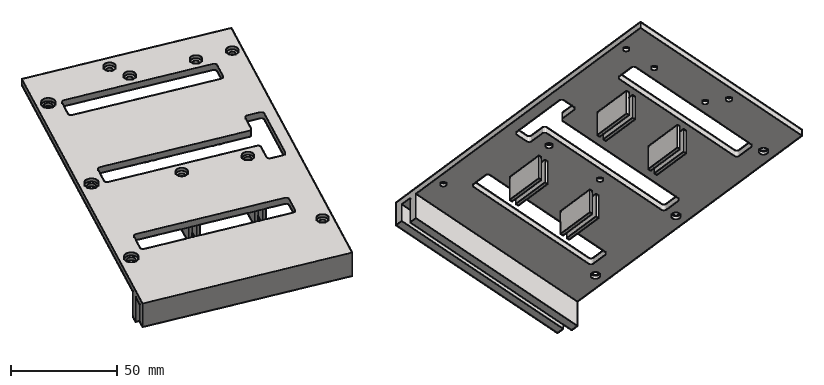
import cadquery as cq

length = 167.2
width = 105.0
thickness = 4.0

total_height = 20.0
wall_thickness = thickness
wall_gap = 5.7
end_wall_drop = 11.0
inner_wall_drop = total_height - thickness
end_wall_x = length - wall_thickness
inner_wall_x = end_wall_x - wall_gap - wall_thickness

slot_width = 11.0
slot_bottom = 12.2
slot_top = 89.8
slot_corner_radius = 1.5
first_slot_center = 26.3
slot_pitch = 49.8
slot_count = 3
slot_centers = [first_slot_center + i * slot_pitch for i in range(slot_count)]
crossbar_center = slot_centers[slot_count // 2]
crossbar_length = 32.0
crossbar_height = 9.4

small_hole, small_bore = 3.0, 6.0
wide_hole = 3.5
large_hole, large_bore = 4.5, 7.0
bore_depth = thickness / 2

left_column_x = 15.0
right_column_x = 87.0
lower_row_y = 48.7
upper_row_y = 81.8
back_row_y = width - 5.0
front_row_y = 6.0
small_points = [
    (left_column_x, lower_row_y),
    (left_column_x, upper_row_y),
    (right_column_x, lower_row_y),
    (left_column_x, back_row_y),
    (140.0, back_row_y),
    (6.0, 41.8),
]
wide_points = [(right_column_x, upper_row_y)]
large_points = [(x, front_row_y) for x in (20.0, 80.0, 135.0)]

fin_length = 20.0
fin_thickness = 1.7
fin_gap = 2.3
fin_drop = 15.0
fin_left_ends = (35.1, 95.0)
fin_row_offset = 3.8
fin_pair_centers = [row_y - fin_row_offset for row_y in (lower_row_y, upper_row_y)]


def block(x, y, z, size_x, size_y, size_z):
    """Box with its lowest corner at (x, y, z)."""
    return cq.Workplane("XY").box(size_x, size_y, size_z, centered=False).translate((x, y, z))


def slot_cutter():
    """The upright slots and the crossbar, with all upright edges rounded."""
    cutter = block(
        crossbar_center - crossbar_length / 2, slot_top, 0, crossbar_length, crossbar_height, thickness
    )
    for center in slot_centers:
        cutter = cutter.union(
            block(center - slot_width / 2, slot_bottom, 0, slot_width, slot_top - slot_bottom, thickness)
        )
    return cutter.edges("|Z").fillet(slot_corner_radius)


def drill(part, points, hole, bore):
    """Through holes counterbored from the top face of the plate."""
    top = part.faces(">Z").workplane(origin=(0, 0, thickness))
    return top.pushPoints(points).cboreHole(hole, bore, bore_depth)


def hanging_wall(x, drop):
    """Full-width wall below the plate, starting at x."""
    return block(x, 0, -drop, wall_thickness, width, drop)


def fin_pair(x, center_y):
    """Two parallel fins below the plate, on either side of center_y."""
    front_y = center_y - fin_gap / 2 - fin_thickness
    back_y = center_y + fin_gap / 2
    front_fin = block(x, front_y, -fin_drop, fin_length, fin_thickness, fin_drop)
    back_fin = block(x, back_y, -fin_drop, fin_length, fin_thickness, fin_drop)
    return front_fin.add(back_fin)


result = block(0, 0, 0, length, width, thickness).cut(slot_cutter())
result = drill(result, small_points, small_hole, small_bore)
result = drill(result, wide_points, wide_hole, small_bore)
result = drill(result, large_points, large_hole, large_bore)

result = result.union(hanging_wall(end_wall_x, end_wall_drop))
result = result.union(hanging_wall(inner_wall_x, inner_wall_drop))

for left_end in fin_left_ends:
    for pair_center in fin_pair_centers:
        result = result.union(fin_pair(left_end, pair_center))